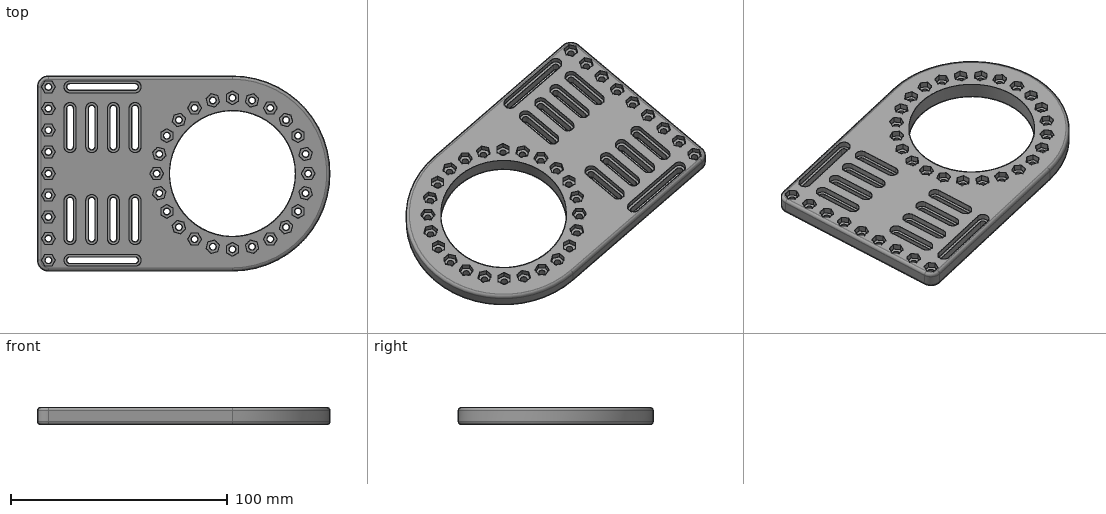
import cadquery as cq
import math

length = 135.0
width = 90.0
thickness = 8.0
rim_fillet = 1.5
bore_diameter = 58.0

end_radius = width / 2
left_edge = end_radius - length

edge_hole_count = 9
pitch = width / edge_hole_count
corner_radius = pitch / 2

screw_diameter = 3.0
nut_across_flats = 5.5
nut_corner_diameter = nut_across_flats / math.cos(math.pi / 6)
pocket_depth = 3.0
ring_radius = 35.0
ring_hole_count = 24

slots_per_side = 4
first_slot_x = left_edge + 1.5 * pitch
long_slot_span = (slots_per_side - 1) * pitch
long_slot_y = 4 * pitch
cross_slot_span = 17.5
cross_slot_outer_y = 3 * pitch


def make_plate():
    """Plate with rounded corners, rounded rims and a plain bore."""
    plate = (
        cq.Workplane("XY")
        .moveTo(left_edge, -end_radius)
        .lineTo(0, -end_radius)
        .threePointArc((end_radius, 0), (0, end_radius))
        .lineTo(left_edge, end_radius)
        .close()
        .extrude(thickness)
    )
    plate = plate.edges("|Z and <X").fillet(corner_radius)
    plate = plate.faces("<Z or >Z").edges().fillet(rim_fillet)
    bore = cq.Workplane("XY").circle(bore_diameter / 2).extrude(thickness)
    return plate.cut(bore)


def cut_nut_holes(body, points, angle=0):
    """Cut screw holes with nut pockets; one pocket corner points along the angle."""
    holes = cq.Workplane("XY").pushPoints(points).circle(screw_diameter / 2).extrude(thickness)
    nut = (
        cq.Workplane("XY")
        .polygon(6, nut_corner_diameter)
        .extrude(pocket_depth)
        .rotate((0, 0, 0), (0, 0, 1), angle)
        .translate((0, 0, thickness - pocket_depth))
    )
    pockets = cq.Workplane("XY").pushPoints(points).eachpoint(nut.val())
    return body.cut(holes).cut(pockets)


def cut_slots(body, points, span, angle):
    """Cut through slots for the screws, widened near the top to take the nuts."""
    through = (
        cq.Workplane("XY")
        .pushPoints(points)
        .slot2D(span + screw_diameter, screw_diameter, angle)
        .extrude(thickness)
    )
    recess = (
        cq.Workplane("XY", origin=(0, 0, thickness))
        .pushPoints(points)
        .slot2D(span + nut_across_flats, nut_across_flats, angle)
        .extrude(-pocket_depth)
    )
    return body.cut(through).cut(recess)


result = make_plate()

edge_points = [
    (left_edge + pitch / 2, (i - (edge_hole_count - 1) / 2) * pitch)
    for i in range(edge_hole_count)
]
result = cut_nut_holes(result, edge_points)

for i in range(ring_hole_count):
    angle = i * 360 / ring_hole_count
    x = ring_radius * math.cos(math.radians(angle))
    y = ring_radius * math.sin(math.radians(angle))
    result = cut_nut_holes(result, [(x, y)], angle)

long_slot_x = first_slot_x + long_slot_span / 2
long_slots = [(long_slot_x, side * long_slot_y) for side in (-1, 1)]
result = cut_slots(result, long_slots, long_slot_span, 0)

cross_slot_y = cross_slot_outer_y - cross_slot_span / 2
cross_slots = [
    (first_slot_x + i * pitch, side * cross_slot_y)
    for side in (-1, 1)
    for i in range(slots_per_side)
]
result = cut_slots(result, cross_slots, cross_slot_span, 90)